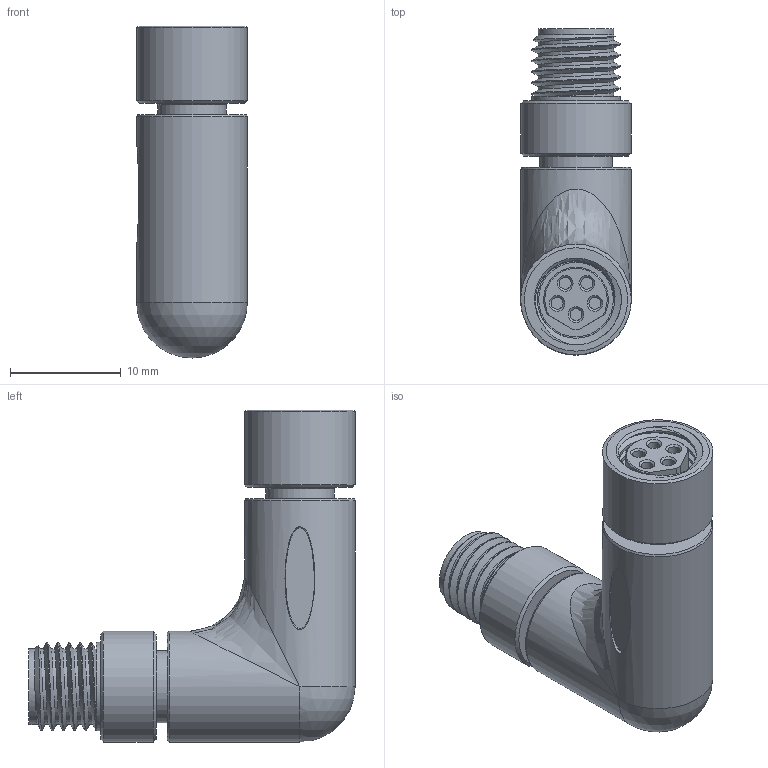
import cadquery as cq
import math


body_radius = 5.0
female_body_end = 17.0
male_body_end = 12.0
body_edge_length = 0.2
body_edge_inset = 0.1

gap_width = 1.0
female_collar_start = female_body_end + gap_width
female_end = 25.0
female_neck_radius = 3.1
neck_flare = 0.1
collar_chamfer = 0.25
face_chamfer_radial = 0.33
face_chamfer_length = 0.1

socket_radius = 3.5
socket_base_radius = 3.37
socket_mouth_radius = 3.75
socket_floor = 19.5
socket_base_top = 20.0
plug_radius = 2.92
plug_chamfer = 0.1
plug_recess = 0.45
plug_top = female_end - plug_recess
key_flat_distance = 2.47
key_tip_distance = 2.69
key_flat_angle = 30.0
contact_positions = [(-0.98, 1.46), (0.98, 1.46), (1.71, -0.35), (-1.71, -0.35), (0.0, -1.37)]
contact_radius = 0.54
contact_chamfer = 0.17
contact_depth = 5.0

male_neck_radius = 3.27
male_collar_start = male_body_end + gap_width
male_collar_end = 18.0
male_shoulder_end = 18.4
male_thread_end = 23.95
male_end = 24.5
thread_core_radius = 3.42
thread_major_radius = 4.0

thread_pitch = 1.0
thread_base_width = 0.75
male_crest_width = 0.08
female_crest_width = 0.3
thread_root_overlap = 0.05
male_thread_start = 17.11
female_thread_start = 20.12
female_thread_radius = 4.1

recess_center_height = 9.8
recess_floor_length = 9.1
recess_floor_width = 2.65
recess_flat_distance = 4.75
recess_draft_angle = 20.0
recess_clearance = 0.3

blend_sections = 7
blend_chord_angle = 1.0


def along_y(shape):
    """Turn a shape built along +Z so that it points along +Y."""
    return shape.rotate((0, 0, 0), (1, 0, 0), -90)


def turned(profile):
    """Turn an outline of (radius, height) points about the Z axis."""
    return cq.Workplane("XZ").polyline(profile).close().revolve(360, (0, 0), (0, 1))


def arm_body(end):
    """Plain arm from the elbow centre, with a slightly relieved outer edge."""
    return turned([
        (0, 0),
        (body_radius, 0),
        (body_radius, end - body_edge_length),
        (body_radius - body_edge_inset, end),
        (0, end),
    ])


def helical_ridge(root_radius, crest_radius, crest_width, start, length):
    """Right-handed helical ridge on the Z axis, starting on +X, with a trapezoid section sunk into the root."""
    half_base = thread_base_width / 2
    half_crest = crest_width / 2
    inner_radius = root_radius - thread_root_overlap
    section = [
        (inner_radius, -half_base),
        (crest_radius, -half_crest),
        (crest_radius, half_crest),
        (inner_radius, half_base),
    ]
    helices = [
        cq.Wire.makeHelix(thread_pitch, length, radius, center=cq.Vector(0, 0, start + offset))
        for radius, offset in section
    ]
    next_helices = helices[1:] + helices[:1]
    faces = [cq.Face.makeRuledSurface(helix, following) for helix, following in zip(helices, next_helices)]
    for corners in ([helix.startPoint() for helix in helices], [helix.endPoint() for helix in helices]):
        faces.append(cq.Face.makeFromWires(cq.Wire.makePolygon(corners, close=True)))
    return cq.Workplane(obj=cq.Solid.makeSolid(cq.Shell.makeShell(faces)))


def blend_section(blend_angle):
    """Half ellipse across the inside corner; the blend angle runs from 0 (male arm) to 90 degrees."""
    y_reach = body_radius * (2 - math.sin(blend_angle))
    z_reach = body_radius * (2 - math.cos(blend_angle))
    outward = cq.Vector(0, y_reach, z_reach)
    section_normal = cq.Vector(0, -z_reach, y_reach)
    half_sweep = 90 - blend_chord_angle
    arc = cq.Edge.makeEllipse(
        outward.Length, body_radius, cq.Vector(0, 0, 0), section_normal, outward, -half_sweep, half_sweep
    )
    chord = cq.Edge.makeLine(arc.endPoint(), arc.startPoint())
    return cq.Wire.assembleEdges([arc, chord])


def elbow_blend():
    """Inside corner fillet whose radius shrinks to nothing at the two sides of the elbow."""
    angle_step = math.pi / 2 / (blend_sections - 1)
    sections = [blend_section(index * angle_step) for index in range(blend_sections)]
    return cq.Workplane(obj=cq.Solid.makeLoft(sections))


def elbow():
    """Both arms, the ball that rounds the outer corner and the inside blend."""
    ball = cq.Workplane("XY").sphere(body_radius)
    arms = arm_body(female_body_end).union(along_y(arm_body(male_body_end)))
    return arms.union(ball).union(elbow_blend())


def oval_recess():
    """Drafted oval pocket with a flat floor, cut into the -X side of the female arm."""
    opening_distance = body_radius + recess_clearance
    floor_center = (-recess_flat_distance, 0, recess_center_height)
    floor_plane = cq.Plane(origin=floor_center, xDir=(0, 0, 1), normal=(-1, 0, 0))
    return (
        cq.Workplane(floor_plane)
        .ellipse(recess_floor_length / 2, recess_floor_width / 2)
        .extrude(opening_distance - recess_flat_distance, taper=-recess_draft_angle)
    )


def female_collar():
    """Neck and chamfered collar at the end of the female arm, still solid inside."""
    return turned([
        (0, female_body_end),
        (female_neck_radius, female_body_end),
        (female_neck_radius, female_collar_start - neck_flare),
        (female_neck_radius + neck_flare, female_collar_start),
        (body_radius - collar_chamfer, female_collar_start),
        (body_radius, female_collar_start + collar_chamfer),
        (body_radius, female_end - face_chamfer_length),
        (body_radius - face_chamfer_radial, female_end),
        (0, female_end),
    ])


def socket_cavity():
    """Bore of the female collar with a narrower base, a flared mouth and an internal thread."""
    mouth_flare = socket_mouth_radius - socket_radius
    bore = turned([
        (0, socket_floor),
        (socket_base_radius, socket_floor),
        (socket_base_radius, socket_base_top),
        (socket_radius, socket_base_top),
        (socket_radius, female_end - mouth_flare),
        (socket_mouth_radius, female_end),
        (0, female_end),
    ])
    thread_length = female_end + thread_pitch - female_thread_start
    groove = helical_ridge(
        socket_radius, female_thread_radius, female_crest_width, female_thread_start, thread_length
    )
    return bore.union(groove)


def contact_hole(x, y):
    """Blind contact hole with a chamfered mouth in the plug face."""
    return turned([
        (0, plug_top - contact_depth),
        (contact_radius, plug_top - contact_depth),
        (contact_radius, plug_top - contact_chamfer),
        (contact_radius + contact_chamfer, plug_top),
        (0, plug_top),
    ]).translate((x, y, 0))


def contact_plug():
    """Round plug keyed by two sloping flats and a blunt tip on its -Y side, with the contact holes."""
    slope = math.tan(math.radians(key_flat_angle))
    flat_apex = key_flat_distance / math.cos(math.radians(key_flat_angle))
    tip_half_width = (flat_apex - key_tip_distance) / slope
    side_y = plug_radius * slope - flat_apex
    key_outline = (
        cq.Workplane("XY").workplane(offset=socket_floor)
        .polyline([
            (-plug_radius, plug_radius),
            (-plug_radius, side_y),
            (-tip_half_width, -key_tip_distance),
            (tip_half_width, -key_tip_distance),
            (plug_radius, side_y),
            (plug_radius, plug_radius),
        ])
        .close()
        .extrude(plug_top - socket_floor)
    )
    plug = turned([
        (0, socket_floor),
        (plug_radius, socket_floor),
        (plug_radius, plug_top - plug_chamfer),
        (plug_radius - plug_chamfer, plug_top),
        (0, plug_top),
    ]).intersect(key_outline)
    for x, y in contact_positions:
        plug = plug.cut(contact_hole(x, y))
    return plug


def male_end_body():
    """Neck, chamfered collar, shoulder and threaded spigot, pointing along +Y."""
    body = turned([
        (0, male_body_end),
        (male_neck_radius, male_body_end),
        (male_neck_radius, male_collar_start),
        (body_radius - collar_chamfer, male_collar_start),
        (body_radius, male_collar_start + collar_chamfer),
        (body_radius, male_collar_end - collar_chamfer),
        (body_radius - collar_chamfer, male_collar_end),
        (thread_major_radius, male_collar_end),
        (thread_major_radius, male_shoulder_end),
        (thread_core_radius, male_shoulder_end),
        (thread_core_radius, male_end),
        (0, male_end),
    ])
    ridge_length = male_end - male_thread_start
    ridge = helical_ridge(
        thread_core_radius, thread_major_radius, male_crest_width, male_thread_start, ridge_length
    )
    thread_depth = thread_major_radius - thread_core_radius
    thread_zone = turned([
        (0, male_shoulder_end),
        (thread_major_radius, male_shoulder_end),
        (thread_major_radius, male_thread_end - thread_depth),
        (thread_core_radius, male_thread_end),
        (0, male_thread_end),
    ])
    return along_y(body.union(ridge.intersect(thread_zone)))


female_end_body = female_collar().cut(socket_cavity()).union(contact_plug())
body = elbow().cut(oval_recess())
result = body.union(female_end_body).union(male_end_body())